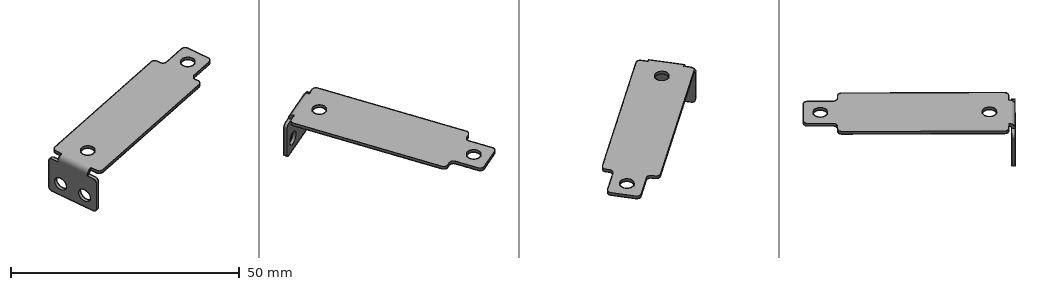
import cadquery as cq

thickness = 0.8
bend_inner_radius = 0.6
bend_outer_radius = bend_inner_radius + thickness
bend_width = 8.0

width = 13.0
overall_length = 46.4
overall_height = 10.65

tab_width = 7.5
tab_length = 7.5
plate_length = overall_length - bend_outer_radius - tab_length
corner_radius = 1.0

flange_height = overall_height - bend_outer_radius

hole_diameter = 3.2
tab_hole_from_end = 3.75
plate_hole_pitch = 37.0
flange_hole_pitch = 6.5
flange_hole_from_bottom = 3.25

plate_start = bend_outer_radius
plate_end = plate_start + plate_length
tab_end = plate_end + tab_length


def make_plate():
    """Flat plate and tab: rounded corners, blended shoulders, two holes on the centre line."""
    body = cq.Workplane("XY").box(width, plate_length, thickness, centered=(True, False, False))
    tab = (
        cq.Workplane("XY")
        .box(tab_width, tab_length, thickness, centered=(True, False, False))
        .translate((0, plate_length, 0))
    )
    plate = body.union(tab).translate((0, plate_start, -thickness))
    plate = plate.edges("|Z").fillet(corner_radius)

    tab_hole_y = tab_end - tab_hole_from_end
    holes = (
        cq.Workplane("XY")
        .pushPoints([(0, tab_hole_y), (0, tab_hole_y - plate_hole_pitch)])
        .circle(hole_diameter / 2)
        .extrude(-thickness)
    )
    return plate.cut(holes)


def make_flange():
    """Upright flange below the bend: rounded corners and a pair of holes side by side."""
    flange = (
        cq.Workplane("XY")
        .box(width, thickness, flange_height, centered=(True, False, False))
        .translate((0, 0, -overall_height))
        .edges("|Y")
        .fillet(corner_radius)
    )
    hole_z = flange_hole_from_bottom - overall_height
    holes = (
        cq.Workplane("XZ")
        .pushPoints([(side * flange_hole_pitch / 2, hole_z) for side in (-1, 1)])
        .circle(hole_diameter / 2)
        .extrude(-thickness)
    )
    return flange.cut(holes)


def make_bend():
    """Quarter-ring strip, narrower than the sheet, joining the plate to the flange."""
    ring = (
        cq.Workplane("YZ", origin=(-bend_width / 2, bend_outer_radius, -bend_outer_radius))
        .circle(bend_outer_radius)
        .circle(bend_inner_radius)
        .extrude(bend_width)
    )
    quarter = (
        cq.Workplane("XY")
        .box(bend_width, bend_outer_radius, bend_outer_radius, centered=(True, False, False))
        .translate((0, 0, -bend_outer_radius))
    )
    return ring.intersect(quarter)


result = make_plate().union(make_bend()).union(make_flange())